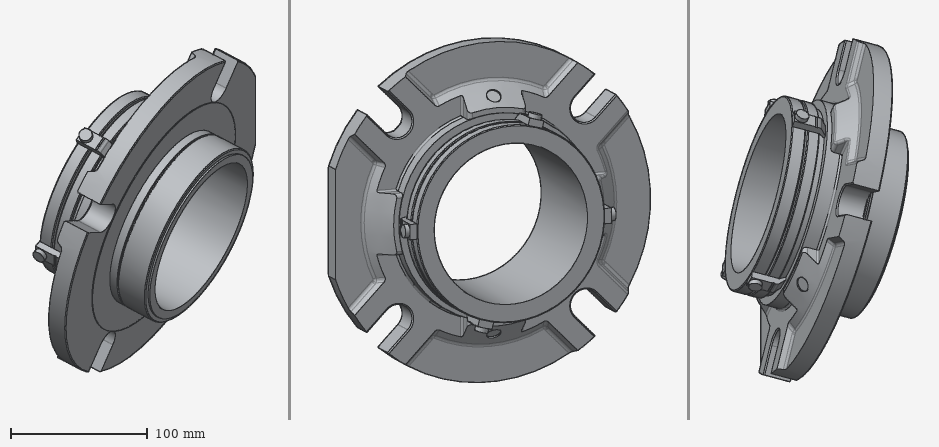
import cadquery as cq
import math


flange_radius = 127.0
flange_front = 44.2
flange_back = 59.0
flange_rim_chamfer = 0.8
flat_offset = 120.0
back_boss_radius = 92.9
back_boss_height = 0.8

raised_front = 38.3
cone_radius = 93.0
spoke_half_width = 28.2
spoke_wall_angle = 30.0
spoke_angles = (45, 135, 225, 315)
pocket_fillet = 3.3
pocket_corner_fillet = 3.8

slot_half_width = 11.5
slot_center_radius = 104.0
slot_chamfer = 1.0

hub_front = 26.0
hub_radius = 77.5
foot_fillet = 1.5
pad_half_width = 22.8
pad_front = 26.6
recessed_pad_front = 29.5
recessed_pad_fillet = 2.3
pad_edge_fillet = 3.0
pad_fronts = {0: pad_front, 90: pad_front, 180: recessed_pad_front, 270: pad_front}
port_diameter = 11.0
port_depth = 1.3
port_x = 34.0
port_angles = (90, 270)

bore_diameter = 120.0
collar_diameter = 147.5
collar_width = 10.7
ring_front = 12.2
ring_back = 21.3
ring_chamfer = 0.8
ring_gap_diameter = 135.2
sleeve_diameter = 141.0
groove_diameter = 138.3
groove_front = 66.2
groove_back = 67.8
tail_diameter = 141.3
tail_end = 91.0
tail_chamfer = 0.8
lip_diameter = 133.5
sleeve_end = 92.5

clip_width = 11.5
clip_inner_radius = 73.3
clip_outer_radius = 79.0
clip_inner_bend_x = 21.3
clip_outer_bend_x = 20.3
clip_bend_fillet = 3.0
clip_toe_inner_radius = 70.5
clip_toe_outer_radius = 73.0
clip_groove_x = 16.5
clip_groove_width = 1.3
clip_groove_depth = 0.5
screw_diameter = 10.0
screw_x = 5.0
screw_top_radius = 82.5
clip_angles = (0, 105, 180, 285)


def cylinder(radius, start, end):
    """Cylinder on the X axis from X = start to X = end."""
    return cq.Workplane("YZ", origin=(start, 0, 0)).circle(radius).extrude(end - start)


def cone(front, back):
    """45 degree cone around X that has cone_radius at X = raised_front."""
    front_radius = cone_radius + front - raised_front
    back_radius = cone_radius + back - raised_front
    profile = [(front, 0), (front, front_radius), (back, back_radius), (back, 0)]
    return cq.Workplane("XY").polyline(profile).close().revolve(360, (0, 0, 0), (1, 0, 0))


def turn(body, angle):
    """Rotate a body about the X axis."""
    return body.rotate((0, 0, 0), (1, 0, 0), angle)


def pad_block(front):
    """Block with rounded front corners that bounds the pad on the +Y side."""
    return (
        cq.Workplane("XY")
        .box(flange_front - front, flange_radius, 2 * pad_half_width, centered=(False, False, True))
        .translate((front, 0, 0))
        .edges("<X and |Y")
        .fillet(pad_edge_fillet)
    )


def raised_cone():
    """Cone between the spokes, reaching forward only at the four pads."""
    bounds = cylinder(flange_radius, raised_front, flange_front)
    for angle, front in pad_fronts.items():
        bounds = bounds.union(turn(pad_block(front), angle))
    return turn(cone(pad_front, flange_front), spoke_angles[0]).intersect(bounds)


def spoke_bar():
    """Bar with sloping sides that crosses the whole flange along Y."""
    spread = (flange_front - raised_front) * math.tan(math.radians(spoke_wall_angle))
    foot_half_width = spoke_half_width + spread
    profile = [
        (raised_front, -spoke_half_width),
        (raised_front, spoke_half_width),
        (flange_front, foot_half_width),
        (flange_back, foot_half_width),
        (flange_back, -foot_half_width),
        (flange_front, -foot_half_width),
    ]
    return cq.Workplane("XZ").polyline(profile).close().extrude(flange_radius, both=True)


def bolt_slot():
    """Open slot along +Y with a widened front edge."""

    def outline(x, half_width):
        outer = 1.2 * flange_radius
        return (
            cq.Workplane("YZ", origin=(x, 0, 0))
            .moveTo(outer, -half_width)
            .lineTo(slot_center_radius, -half_width)
            .threePointArc(
                (slot_center_radius - half_width, 0),
                (slot_center_radius, half_width),
            )
            .lineTo(outer, half_width)
            .close()
        )

    slot = outline(raised_front, slot_half_width).extrude(flange_back - raised_front)
    wide = outline(raised_front, slot_half_width + slot_chamfer)
    return slot.union(wide.extrude(slot_chamfer, taper=45))


def band(x, reach):
    """Selector for items whose centre lies near the plane at x, within reach of the axis in Y and Z."""
    thickness = 0.5
    return cq.selectors.BoxSelector(
        (x - thickness, -reach, -reach),
        (x + thickness, reach, reach),
    )


def flange():
    rim = cylinder(flange_radius, raised_front, flange_back)
    body = cylinder(flange_radius, flange_front, flange_back)
    body = body.union(raised_cone())
    for angle in spoke_angles[:2]:
        body = body.union(turn(spoke_bar(), angle).intersect(rim))
    body = body.union(cylinder(hub_radius, hub_front, flange_front))

    reach = 0.84 * flange_radius
    body = body.edges(band((raised_front + flange_front) / 2, reach)).edges("not %CIRCLE")
    body = body.fillet(pocket_corner_fillet)
    body = body.edges(band(flange_front, reach)).fillet(pocket_fillet)
    feet_reach = 0.68 * flange_radius
    feet = body.edges(band(raised_front, feet_reach)).edges("%CIRCLE or %LINE")
    body = feet.fillet(foot_fillet)
    recessed_lip = body.edges(band(recessed_pad_front, flange_radius)).edges("<Y")
    body = recessed_lip.fillet(recessed_pad_fillet)
    body = body.faces(">X").edges().chamfer(flange_rim_chamfer)

    side = cq.Workplane("XY").box(
        flange_back, flange_radius, 2 * flange_radius, centered=(False, False, True)
    )
    body = body.cut(side.translate((0, flat_offset, 0)))

    for angle in spoke_angles:
        body = body.cut(turn(bolt_slot(), angle))
    return body.union(cylinder(back_boss_radius, flange_back, flange_back + back_boss_height))


def port():
    """Blind hole square to the cone of the +Y pad."""
    port_radius = cone_radius + port_x - raised_front
    inward = cq.Vector(1, -1, 0)
    start = cq.Vector(port_x, port_radius, 0) - inward.normalized() * port_depth
    return cq.Workplane(cq.Solid.makeCylinder(port_diameter / 2, 2 * port_depth, start, inward))


def sleeve():
    body = cylinder(collar_diameter / 2, 0, collar_width).faces(">X or <X").edges().chamfer(ring_chamfer)
    ring = cylinder(collar_diameter / 2, ring_front, ring_back)
    body = body.union(ring.faces(">X or <X").edges().chamfer(ring_chamfer))
    body = body.union(cylinder(ring_gap_diameter / 2, 0, ring_front))
    body = body.union(cylinder(sleeve_diameter / 2, ring_front, groove_front))
    body = body.union(cylinder(groove_diameter / 2, groove_front, groove_back))
    tail = cylinder(tail_diameter / 2, groove_back, tail_end).faces(">X").edges().chamfer(tail_chamfer)
    return body.union(tail).union(cylinder(lip_diameter / 2, tail_end, sleeve_end))


def clip():
    """Setting clip on the +Y side that holds collar and ring against the hub."""
    profile = [
        (0, clip_inner_radius),
        (0, clip_outer_radius),
        (clip_groove_x, clip_outer_radius),
        (clip_groove_x, clip_outer_radius - clip_groove_depth),
        (clip_groove_x + clip_groove_width, clip_outer_radius - clip_groove_depth),
        (clip_groove_x + clip_groove_width, clip_outer_radius),
        (clip_outer_bend_x, clip_outer_radius),
        (hub_front, clip_toe_outer_radius),
        (hub_front, clip_toe_inner_radius),
        (clip_inner_bend_x, clip_inner_radius),
    ]
    strip = cq.Workplane("XY").polyline(profile).close().extrude(clip_width / 2, both=True)
    bend = cq.selectors.NearestToPointSelector((clip_outer_bend_x, clip_outer_radius, 0))
    strip = strip.edges("|Z").edges(bend).fillet(clip_bend_fillet)
    screw = cq.Solid.makeCylinder(
        screw_diameter / 2,
        screw_top_radius - clip_inner_radius,
        cq.Vector(screw_x, clip_inner_radius, 0),
        cq.Vector(0, 1, 0),
    )
    return strip.union(cq.Workplane(screw))


result = flange().union(sleeve())
for angle in port_angles:
    result = result.cut(turn(port(), angle))
for angle in clip_angles:
    result = result.union(turn(clip(), angle))
result = result.cut(cylinder(bore_diameter / 2, 0, sleeve_end))